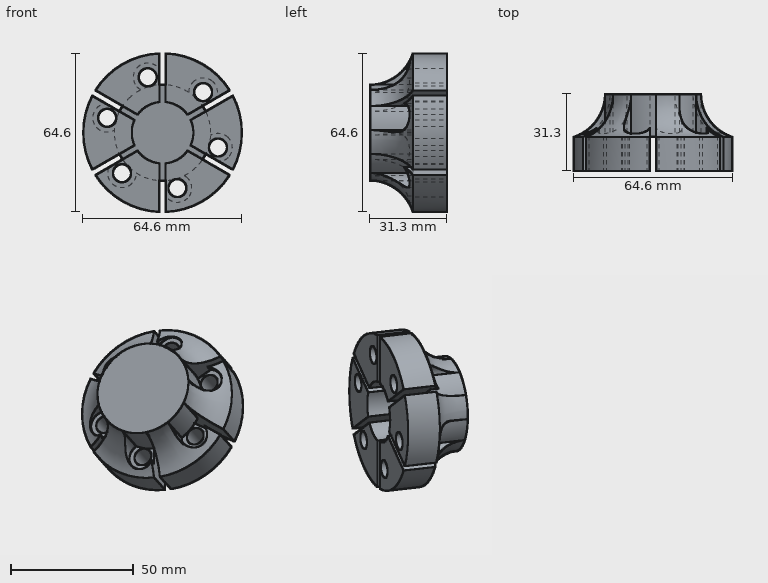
import cadquery as cq
import math

flange_radius = 32.3
flange_thickness = 13.9
total_length = 31.25
neck_radius = 19.55

recess_radius = 12.5

sector_count = 6
slot_width = 2.5
first_slot_angle = 30.0

bolt_circle_radius = 23.3
bolt_hole_diameter = 7.2
head_pocket_diameter = 11.6
first_bolt_angle = 45.0

flare_reach = flange_radius - neck_radius
flare_length = total_length - flange_thickness
flare_radius = (flare_reach**2 + flare_length**2) / (2 * flare_reach)


def plane_at(y):
    """Plane facing +Y at height y, with local x = -X and local y = +Z."""
    return cq.Workplane("XZ", origin=(0, y, 0)).transformed(rotate=(0, 180, 0))


def bolt_cylinders(diameter, start, length):
    """One cylinder at each bolt position; mirrored angles suit the local x that runs along -X."""
    return (
        plane_at(start)
        .polarArray(bolt_circle_radius, 180 - first_bolt_angle, 360, sector_count)
        .circle(diameter / 2)
        .extrude(length)
    )


def flared_body():
    """Flange, flare and neck turned as one solid."""
    arc_centre_radius = neck_radius + flare_radius
    half_sweep = math.asin(flare_length / flare_radius) / 2
    arc_middle = (
        arc_centre_radius - flare_radius * math.cos(half_sweep),
        total_length - flare_radius * math.sin(half_sweep),
    )
    return (
        cq.Workplane("XY")
        .lineTo(flange_radius, 0)
        .lineTo(flange_radius, flange_thickness)
        .threePointArc(arc_middle, (neck_radius, total_length))
        .lineTo(0, total_length)
        .close()
        .revolve(360, (0, 0), (0, 1))
    )


def radial_slots():
    """Slots along the whole length, from the axis out to the rim."""
    slots = cq.Workplane("XY")
    for index in range(sector_count):
        slot = (
            cq.Workplane("XY")
            .box(flange_radius, total_length, slot_width, centered=(False, False, True))
            .rotate((0, 0, 0), (0, 1, 0), -(first_slot_angle + index * 360 / sector_count))
        )
        slots = slots.add(slot)
    return slots.combine()


recess = plane_at(0).circle(recess_radius).extrude(flange_thickness)
bolt_holes = bolt_cylinders(bolt_hole_diameter, 0, total_length)
head_pockets = bolt_cylinders(head_pocket_diameter, flange_thickness, flare_length)

neck_core = plane_at(flange_thickness).circle(neck_radius).extrude(flare_length)
result = (
    flared_body()
    .cut(recess)
    .cut(bolt_holes)
    .cut(radial_slots().cut(neck_core))
    .cut(head_pockets.cut(neck_core))
)